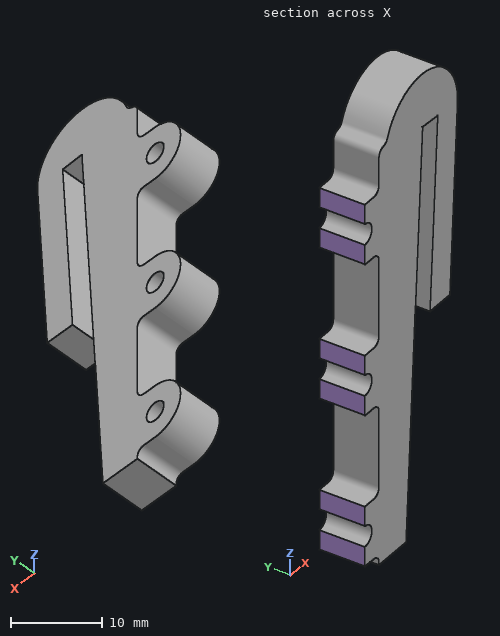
import cadquery as cq
import math

thickness = 6.0
total_height = 60.2
foot_width = 5.4
lean_angle = math.radians(3.5)
slot_width = 3.0
finger_width = 4.0
finger_tip_z = 27.85

lug_radius = 4.0
lug_reach = 2.75
lug_pitch = 20.0
lowest_lug_z = 5.35
lug_count = 3
hole_diameter = 2.7

blend_radius = 1.0
shoulder_start_z = 53.95
crown_radius = 7.2
slot_end_z = 53.15

slope = math.tan(lean_angle)
slot_corner = (foot_width + slot_end_z * slope, slot_end_z)

crown_z = total_height - crown_radius
crown_offset = slot_width + finger_width - crown_radius
crown_x = foot_width + crown_z * slope + crown_offset / math.cos(lean_angle)
crown_center = (crown_x, crown_z)
lug_heights = [lowest_lug_z + i * lug_pitch for i in range(lug_count)]


def down_to_tip(start):
    """Point at the finger tip height, following the lean from a start point."""
    x, z = start
    return (x - (z - finger_tip_z) * slope, finger_tip_z)


def on_circle(center, radius, angle):
    return (center[0] + radius * math.cos(angle), center[1] + radius * math.sin(angle))


def add_lug(outline, z):
    """Run up the spine edge and around one rounded lug with blended roots."""
    diagonal = blend_radius * math.sqrt(0.5)
    lower_center = (-blend_radius, z - lug_radius - blend_radius)
    upper_center = (-blend_radius, z + lug_radius + blend_radius)
    return (
        outline.lineTo(0, lower_center[1])
        .threePointArc(
            (lower_center[0] + diagonal, lower_center[1] + diagonal),
            (-blend_radius, z - lug_radius),
        )
        .lineTo(-lug_reach, z - lug_radius)
        .threePointArc((-lug_reach - lug_radius, z), (-lug_reach, z + lug_radius))
        .lineTo(-blend_radius, z + lug_radius)
        .threePointArc(
            (upper_center[0] + diagonal, upper_center[1] - diagonal),
            (0, upper_center[1]),
        )
    )


def add_shoulder(outline):
    """Round the spine's top corner, then blend it into the crown with an S-curve."""
    round_center = (blend_radius, shoulder_start_z)
    run = crown_x - round_center[0]
    rise = crown_z - round_center[1]
    center_gap = math.hypot(run, rise)
    corner_to_blend = 2 * blend_radius
    blend_to_crown = blend_radius + crown_radius
    square_difference = corner_to_blend**2 + center_gap**2 - blend_to_crown**2
    corner_cosine = square_difference / (2 * corner_to_blend * center_gap)
    touch_angle = math.atan2(rise, run) + math.acos(corner_cosine)
    blend_center = on_circle(round_center, corner_to_blend, touch_angle)
    start_angle = touch_angle - math.pi
    end_angle = math.atan2(crown_z - blend_center[1], crown_x - blend_center[0])
    return (
        outline.lineTo(0, shoulder_start_z)
        .threePointArc(
            on_circle(round_center, blend_radius, (math.pi + touch_angle) / 2),
            on_circle(round_center, blend_radius, touch_angle),
        )
        .threePointArc(
            on_circle(blend_center, blend_radius, (start_angle + end_angle) / 2),
            on_circle(blend_center, blend_radius, end_angle),
        )
    )


profile = cq.Workplane("XZ").moveTo(0, 0)
for lug_z in lug_heights:
    profile = add_lug(profile, lug_z)
profile = add_shoulder(profile)

finger_outer = on_circle(crown_center, crown_radius, -lean_angle)
finger_inner = on_circle(slot_corner, slot_width, -lean_angle)
profile = (
    profile.threePointArc((crown_x, total_height), finger_outer)
    .lineTo(*down_to_tip(finger_outer))
    .lineTo(*down_to_tip(finger_inner))
    .lineTo(*finger_inner)
    .lineTo(*slot_corner)
    .lineTo(foot_width, 0)
    .close()
)
body = profile.extrude(thickness)

holes = (
    cq.Workplane("XZ")
    .pushPoints([(-lug_reach, z) for z in lug_heights])
    .circle(hole_diameter / 2)
    .extrude(thickness)
)
result = body.cut(holes)